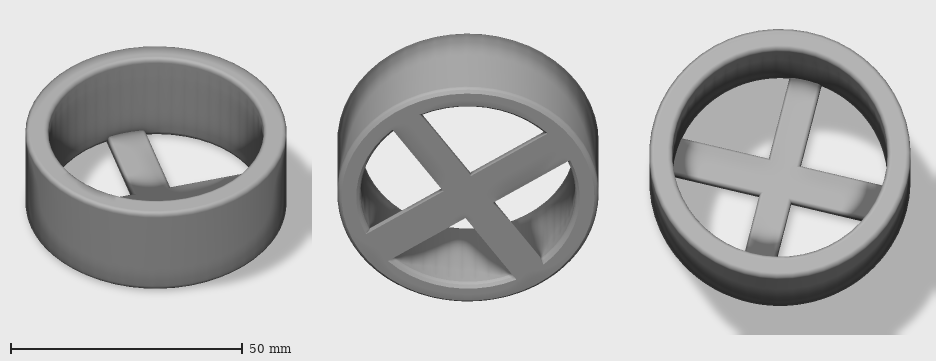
import cadquery as cq

outer_diameter = 56.5
bore_diameter = 46.5
height = 22.0
top_round = 1.0
bottom_chamfer = 0.9
chamfer_blend = 1.0

bar_along_x_width = 8.55
bar_along_y_width = 7.05
bar_thickness = 2.0
bar_round = 0.75
bar_embed = 1.15


def make_ring():
    """Ring with rounded top rims, chamfered bottom rims blended into the walls."""
    ring = cq.Workplane("XY").circle(outer_diameter / 2).circle(bore_diameter / 2).extrude(height)
    ring = ring.faces(">Z").edges().fillet(top_round)
    ring = ring.faces("<Z").edges().chamfer(bottom_chamfer)
    half_side = outer_diameter / 2 + 0.55
    chamfer_zone = cq.selectors.BoxSelector(
        (-half_side, -half_side, bottom_chamfer / 2),
        (half_side, half_side, height / 2),
        boundingbox=False,
    )
    chamfer_tops = ring.edges("%CIRCLE").edges(chamfer_zone)
    return chamfer_tops.fillet(chamfer_blend)


def make_cross():
    """Two crossing bars with rounded upper edges, ending inside the ring wall."""
    reach = bore_diameter + 2 * bar_embed
    centered = (True, True, False)
    cross = (
        cq.Workplane("XY")
        .box(reach, bar_along_x_width, bar_thickness, centered=centered)
        .union(cq.Workplane("XY").box(bar_along_y_width, reach, bar_thickness, centered=centered))
    )
    cross = cross.faces(">Z").edges().fillet(bar_round)
    trim = cq.Workplane("XY").circle(reach / 2).extrude(height)
    return cross.intersect(trim)


result = make_ring().union(make_cross())